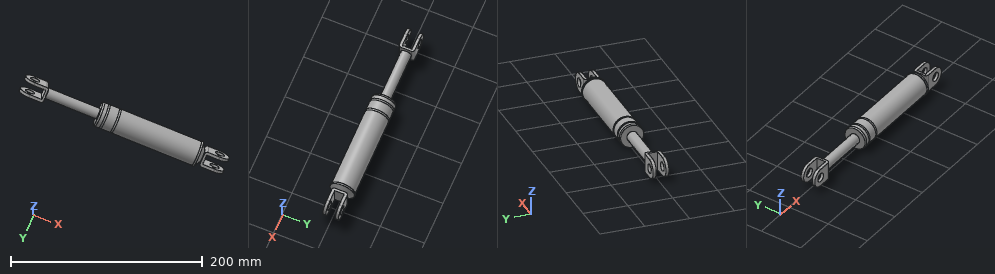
import cadquery as cq

length = 231.0

clevis_length = 27.0
clevis_height = 21.7
clevis_width = 17.8
clevis_gap = 10.6
web_thickness = 2.8
bend_radius = 3.0
eye_diameter = 10.0
eye_radius = clevis_height / 2

rod_radius = 6.0

cylinder_start = 85.7
nose_length = 2.0
groove_starts = [92.0, 104.5]
groove_width = 2.0
bead_start = 197.2
bead_width = 2.0
cone_start = bead_start + bead_width
cone_end = length - clevis_length

cylinder_radius = 13.6
nose_radius = 13.0
groove_depth = 0.5
bead_radius = 14.0
cone_end_radius = 6.7


def make_clevis():
    """U-shaped bracket with rounded ears: eye end at X = 0, web at X = clevis_length."""
    block = (
        cq.Workplane("XZ")
        .moveTo(eye_radius, eye_radius)
        .threePointArc((0, 0), (eye_radius, -eye_radius))
        .lineTo(clevis_length, -eye_radius)
        .lineTo(clevis_length, eye_radius)
        .close()
        .extrude(clevis_width / 2, both=True)
        .edges("|Z and >X")
        .fillet(bend_radius)
    )
    slot = cq.Workplane("XY").box(
        clevis_length - web_thickness, clevis_gap, clevis_height, centered=(False, True, True)
    )
    eye = (
        cq.Workplane("XZ")
        .center(eye_radius, 0)
        .circle(eye_diameter / 2)
        .extrude(clevis_width / 2, both=True)
    )
    return block.cut(slot).cut(eye)


def make_rod():
    """Front clevis with the round rod, which stops at the cylinder's front face."""
    rod_start = clevis_length - web_thickness
    rod = (
        cq.Workplane("YZ")
        .workplane(offset=rod_start)
        .circle(rod_radius)
        .extrude(cylinder_start - rod_start)
    )
    return make_clevis().union(rod)


def make_cylinder():
    """Turned cylinder with a chamfered nose, two round grooves, a bead and a cone, plus the rear clevis."""
    profile = (
        cq.Workplane("XY")
        .moveTo(cylinder_start, 0)
        .lineTo(cylinder_start, nose_radius)
        .lineTo(cylinder_start + nose_length, cylinder_radius)
    )
    for start in groove_starts:
        groove_bottom = (start + groove_width / 2, cylinder_radius - groove_depth)
        groove_end = (start + groove_width, cylinder_radius)
        profile = profile.lineTo(start, cylinder_radius).threePointArc(groove_bottom, groove_end)
    stub_end = cone_end + web_thickness
    body = (
        profile.lineTo(bead_start, cylinder_radius)
        .lineTo(bead_start, bead_radius)
        .lineTo(cone_start, bead_radius)
        .lineTo(cone_end, cone_end_radius)
        .lineTo(stub_end, cone_end_radius)
        .lineTo(stub_end, 0)
        .close()
        .revolve(360, (0, 0, 0), (1, 0, 0))
    )
    rear_clevis = make_clevis().mirror("YZ").translate((length, 0, 0))
    return body.union(rear_clevis)


rod = make_rod()
cylinder = make_cylinder()
result = cq.Compound.makeCompound([rod.val(), cylinder.val()])